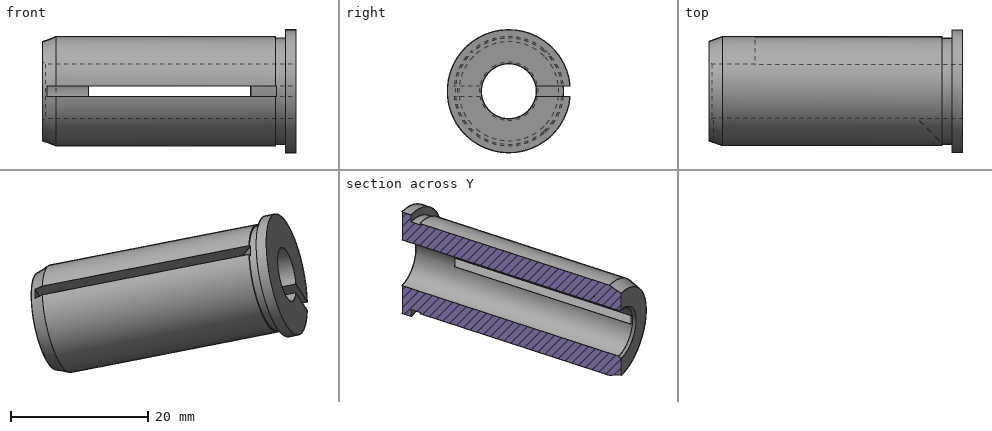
import cadquery as cq

length = 37.0
flange_radius = 9.0
flange_thickness = 1.55
body_radius = 8.0
neck_radius = 7.77
neck_length = 1.48
nose_radius = 7.25
nose_length = 2.0

bore_radius = 4.0
bore_chamfer = 0.25
bore_chamfer_depth = 0.45

slot_width = 1.5
closed_slot_start = 0.65
closed_slot_end = 34.15
open_slot_start = 6.75

flange_start = length - flange_thickness
neck_start = flange_start - neck_length
bore_mouth_radius = bore_radius + bore_chamfer


def revolve_about_x(points):
    """Revolve an (x, radius) outline about the X axis."""
    return cq.Workplane("XY").polyline(points).close().revolve(360, (0, 0, 0), (1, 0, 0))


def make_sleeve():
    return revolve_about_x([
        (0, bore_mouth_radius),
        (0, nose_radius),
        (nose_length, body_radius),
        (neck_start, body_radius),
        (neck_start, neck_radius),
        (flange_start, neck_radius),
        (flange_start, flange_radius),
        (length, flange_radius),
        (length, bore_radius),
        (bore_chamfer_depth, bore_radius),
    ])


def slot_block(start, end, side):
    """Slot-wide block from the axis to the flange rim; side is -1 for -Y and 1 for +Y."""
    return cq.Workplane("XY").box(
        end - start, flange_radius, slot_width, centered=(False, True, True)
    ).translate((start, side * flange_radius / 2, 0))


def make_closed_slot():
    """Slot with a square end at the nose and a 45 degree conical run-out before the flange."""
    cone_tip = closed_slot_end - neck_radius
    run_out = revolve_about_x([
        (cone_tip, 0),
        (closed_slot_end, neck_radius),
        (closed_slot_end, 0),
    ])
    return slot_block(closed_slot_start, closed_slot_end, -1).cut(run_out)


def make_open_slot():
    """Slot that runs out through the flange."""
    return slot_block(open_slot_start, length, 1)


result = make_sleeve().cut(make_closed_slot()).cut(make_open_slot())